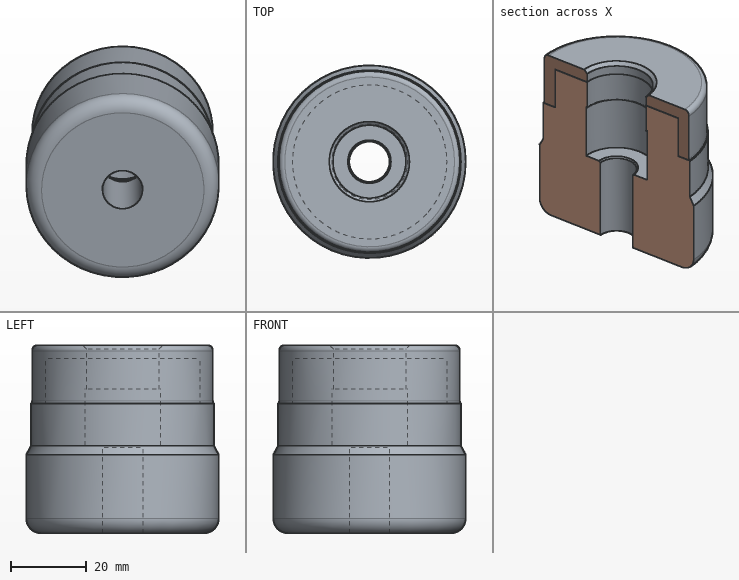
import cadquery as cq

base_radius = 25.4
base_round = 4.0
shoulder_bottom = 20.7
shoulder_top = 23.0
collar_radius = 24.15
collar_top = 34.3
collar_chamfer_width = 0.1
collar_chamfer_height = 0.2

total_height = 49.6
cap_radius = 23.8
cap_round = 1.45
cap_thickness = 3.5
cap_foot_width = 0.15
cap_foot_height = 0.55

spigot_radius = cap_radius - cap_thickness
spigot_top = total_height - cap_thickness

bore_radius = 9.6
bore_chamfer = 0.95
undercut_depth = 0.35
undercut_radius = bore_radius + undercut_depth
undercut_top = 38.1
undercut_floor = shoulder_top
through_radius = 5.3
through_chamfer = 0.4


def revolve_about_z(profile):
    """Turn a closed radius-height outline into a solid of revolution about Z."""
    return profile.close().revolve(360, (0, 0, 0), (0, 1, 0))


def make_base():
    """Base with a spigot, a bore widening into an undercut, and a through hole."""
    round_center = base_radius - base_round
    round_offset = base_round / 2**0.5
    profile = (
        cq.Workplane("XZ")
        .moveTo(through_radius, 0)
        .lineTo(round_center, 0)
        .threePointArc(
            (round_center + round_offset, base_round - round_offset),
            (base_radius, base_round),
        )
        .lineTo(base_radius, shoulder_bottom)
        .lineTo(collar_radius, shoulder_top)
        .lineTo(collar_radius, collar_top - collar_chamfer_height)
        .lineTo(collar_radius - collar_chamfer_width, collar_top)
        .lineTo(spigot_radius, collar_top)
        .lineTo(spigot_radius, spigot_top)
        .lineTo(bore_radius, spigot_top)
        .lineTo(bore_radius, undercut_top)
        .lineTo(undercut_radius, undercut_top)
        .lineTo(undercut_radius, undercut_floor)
        .lineTo(through_radius + through_chamfer, undercut_floor)
        .lineTo(through_radius, undercut_floor - through_chamfer)
    )
    return revolve_about_z(profile)


def make_cap():
    """Cap with a flared foot, a rounded top edge and a chamfered bore."""
    round_center = cap_radius - cap_round
    round_offset = cap_round / 2**0.5
    profile = (
        cq.Workplane("XZ")
        .moveTo(spigot_radius, collar_top)
        .lineTo(cap_radius + cap_foot_width, collar_top)
        .lineTo(cap_radius, collar_top + cap_foot_height)
        .lineTo(cap_radius, total_height - cap_round)
        .threePointArc(
            (round_center + round_offset, total_height - cap_round + round_offset),
            (round_center, total_height),
        )
        .lineTo(bore_radius + bore_chamfer, total_height)
        .lineTo(bore_radius, total_height - bore_chamfer)
        .lineTo(bore_radius, spigot_top)
        .lineTo(spigot_radius, spigot_top)
    )
    return revolve_about_z(profile)


base = make_base()
cap = make_cap()
result = cq.Compound.makeCompound([base.val(), cap.val()])